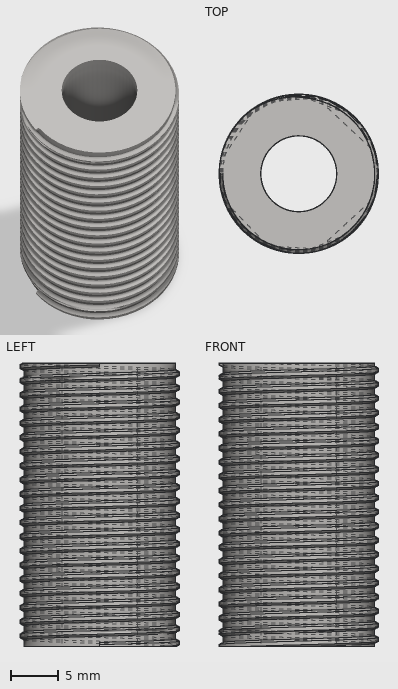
import cadquery as cq
import math

length = 30.0
major_diameter = 16.85
root_diameter = 16.08
bore_diameter = 8.0

pitch = 1.5
crest_width = 0.4
flank_half_angle = 30.0
root_overlap = 0.05

major_radius = major_diameter / 2
root_radius = root_diameter / 2
ridge_inner_radius = root_radius - root_overlap
ridge_depth = major_radius - ridge_inner_radius
ridge_half_base = crest_width / 2 + ridge_depth * math.tan(math.radians(flank_half_angle))


def make_sleeve():
    """Plain tube at the thread's root diameter."""
    return cq.Workplane("XY").circle(root_radius).circle(bore_diameter / 2).extrude(length)


def make_thread():
    """Helical ridge, centred on z = 0 and z = length at its ends on the -X side, trimmed flush."""
    helix = cq.Wire.makeHelix(pitch, length, root_radius)
    ridge = (
        cq.Workplane("XZ")
        .polyline([
            (ridge_inner_radius, -ridge_half_base),
            (major_radius, -crest_width / 2),
            (major_radius, crest_width / 2),
            (ridge_inner_radius, ridge_half_base),
        ])
        .close()
        .sweep(cq.Workplane(helix), isFrenet=True)
        .rotate((0, 0, 0), (0, 0, 1), 180)
    )
    end_trim = cq.Workplane("XY").circle(major_diameter).extrude(length)
    return ridge.intersect(end_trim)


result = make_sleeve().union(make_thread())